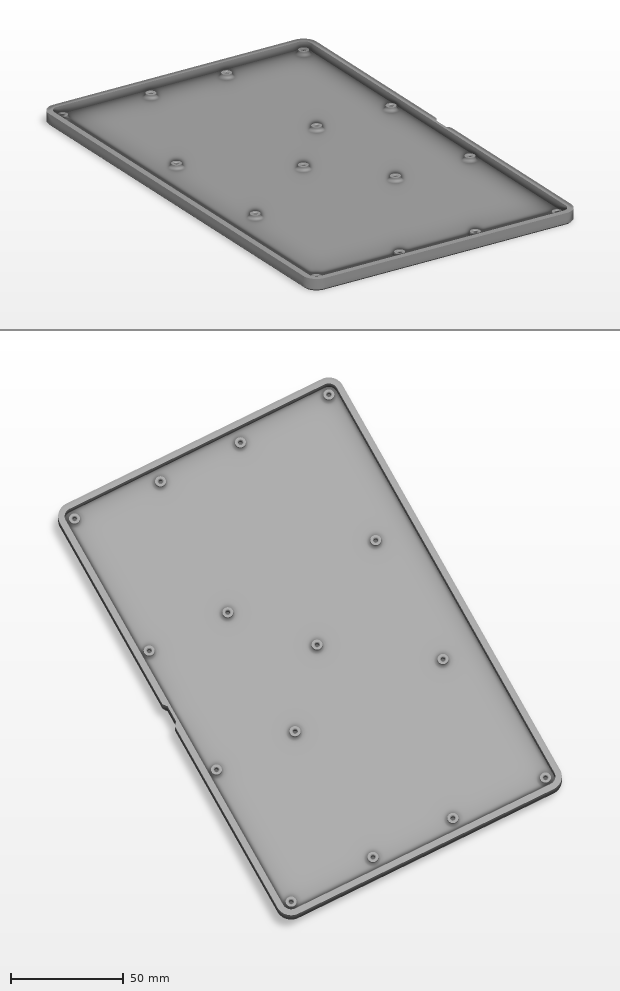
import cadquery as cq
import math

length = 222.5
width = 142.5
height = 6.0
corner_radius = 7.0
wall = 3.0
floor = 2.0
bottom_edge = 1.0

boss_diameter = 5.0
hole_diameter = 2.0
boss_height = 2.0
foot_radius = 1.5
lead_in = 0.33

corner_x = 104.0
side_x = 102.0
inner_x = 32.3
back_y = 64.0
front_y = -back_y
side_ys = (21.8, -18.5)
inner_ys = (back_y, 24.5, -50.0)
center_y = -3.5

notch_width = 11.8
notch_depth = 1.5
notch_bevel = 1.8


def make_tray():
    """Shallow open tray with rounded corners and a chamfered bottom edge."""
    body = cq.Workplane("XY").box(length, width, height, centered=(True, True, False))
    body = body.edges("|Z").fillet(corner_radius)
    body = body.faces("<Z").edges().chamfer(bottom_edge)
    cavity = (
        cq.Workplane("XY")
        .workplane(offset=floor)
        .rect(length - 2 * wall, width - 2 * wall)
        .extrude(height)
        .edges("|Z")
        .fillet(corner_radius - wall)
    )
    return body.cut(cavity)


def make_notch():
    """Full-height cutter with slanted ends for the back wall."""
    back = width / 2
    half = notch_width / 2
    return (
        cq.Workplane("XY")
        .polyline([
            (-half, back),
            (-half + notch_bevel, back - notch_depth),
            (half - notch_bevel, back - notch_depth),
            (half, back),
        ])
        .close()
        .extrude(height)
    )


def make_standoff():
    """Standoff centred on the origin; its concave foot is a quarter arc in profile."""
    boss_radius = boss_diameter / 2
    hole_radius = hole_diameter / 2
    top = floor + boss_height
    foot_end = boss_radius + foot_radius
    arc_middle = foot_radius * (1 - math.cos(math.radians(45)))
    return (
        cq.Workplane("XZ")
        .moveTo(hole_radius, floor)
        .lineTo(foot_end, floor)
        .threePointArc(
            (boss_radius + arc_middle, floor + arc_middle),
            (boss_radius, floor + foot_radius),
        )
        .lineTo(boss_radius, top)
        .lineTo(hole_radius + lead_in, top)
        .lineTo(hole_radius, top - lead_in)
        .close()
        .revolve(360, (0, 0, 0), (0, 1, 0))
    )


def standoff_places():
    """All standoff centres: the middle one plus the mirrored pairs."""
    places = [(0, center_y)]
    for side in (-1, 1):
        places += [(side * corner_x, y) for y in (back_y, front_y)]
        places += [(side * side_x, y) for y in side_ys]
        places += [(side * inner_x, y) for y in inner_ys]
    return places


result = make_tray().cut(make_notch())
standoff = make_standoff()
for x, y in standoff_places():
    result = result.union(standoff.translate((x, y, 0)))